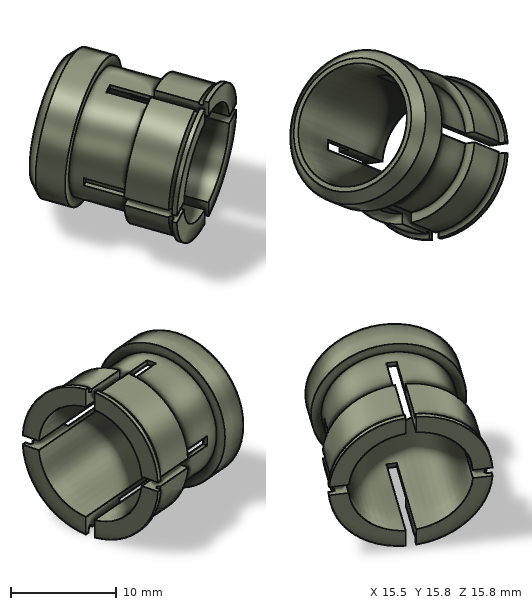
import cadquery as cq

TOTAL_LENGTH = 15.5
FRONT_COLLAR_END = 4.0
SLOT_START = 5.5
REAR_COLLAR_START = 10.0
LIP_THICKNESS = 0.5
GROOVE_RADIUS = 0.25

BORE_DIAMETER = 12.0
NECK_DIAMETER = 13.0
COLLAR_DIAMETER = 15.0
LIP_DIAMETER = 15.8

FRONT_CHAMFER = 1.0
SLOT_WIDTH = 1.0

bore_radius = BORE_DIAMETER / 2
neck_radius = NECK_DIAMETER / 2
collar_radius = COLLAR_DIAMETER / 2
lip_radius = LIP_DIAMETER / 2
lip_start = TOTAL_LENGTH - LIP_THICKNESS
groove_start = lip_start - 2 * GROOVE_RADIUS
slot_length = TOTAL_LENGTH - SLOT_START


def make_sleeve():
    """Revolve the wall section, drawn as (axial position, radius), about the X axis."""
    section = (
        cq.Workplane("XY")
        .moveTo(0, bore_radius)
        .lineTo(0, collar_radius - FRONT_CHAMFER)
        .lineTo(FRONT_CHAMFER, collar_radius)
        .lineTo(FRONT_COLLAR_END, collar_radius)
        .lineTo(FRONT_COLLAR_END, neck_radius)
        .lineTo(REAR_COLLAR_START, neck_radius)
        .lineTo(REAR_COLLAR_START, collar_radius)
        .lineTo(groove_start, collar_radius)
        .threePointArc(
            (groove_start + GROOVE_RADIUS, collar_radius - GROOVE_RADIUS),
            (lip_start, collar_radius),
        )
        .lineTo(lip_start, lip_radius)
        .lineTo(TOTAL_LENGTH, lip_radius)
        .lineTo(TOTAL_LENGTH, bore_radius)
        .close()
    )
    return section.revolve(360, (0, 0, 0), (1, 0, 0))


def make_slots():
    """Two crossed slabs that split the rear of the sleeve into four fingers."""
    slab = cq.Workplane("XY").box(
        slot_length, LIP_DIAMETER, SLOT_WIDTH, centered=(False, True, True)
    )
    slab = slab.translate((SLOT_START, 0, 0))
    return slab.union(slab.rotate((0, 0, 0), (1, 0, 0), 90))


result = make_sleeve().cut(make_slots())